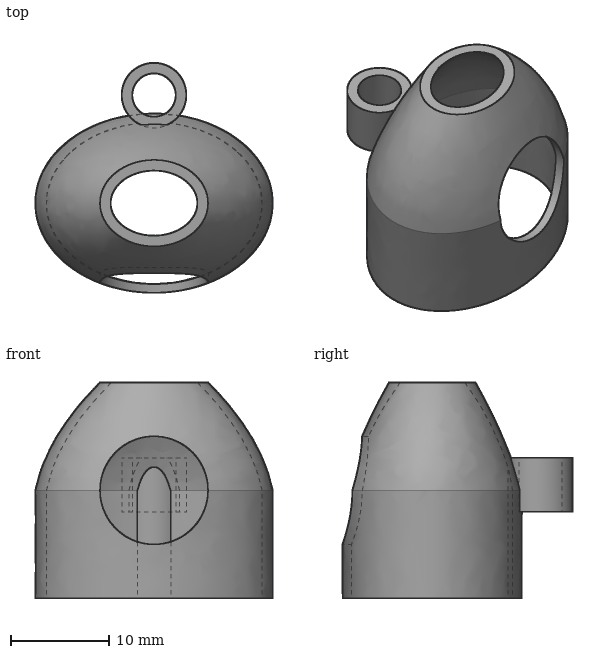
import cadquery as cq

height = 22.0
shoulder_height = height / 2
dome_rise = height - shoulder_height

outer_base = (24.2, 18.29)
outer_middle = (19.79, 14.3)
outer_top = (11.0, 8.8)
inner_base = (22.0, 16.5)
inner_middle = (17.59, 13.06)
inner_top = (8.8, 6.6)

window_diameter = 11.0

ring_outer_diameter = 6.6
ring_bore_diameter = 4.4
ring_offset = 10.995
ring_bottom = 8.8
ring_top = 14.32


def ellipse_at(plane, widths):
    """Add an elliptical section with the given full widths."""
    return plane.ellipse(widths[0] / 2, widths[1] / 2)


def bell(base, middle, top):
    """Straight elliptical skirt capped by a dome through three sections."""
    skirt = ellipse_at(cq.Workplane("XY"), base).extrude(shoulder_height)
    dome = ellipse_at(cq.Workplane("XY", origin=(0, 0, shoulder_height)), base)
    for section in (middle, top):
        dome = ellipse_at(dome.workplane(offset=dome_rise / 2), section)
    return skirt.union(dome.loft())


def ring_cylinder(diameter, bottom):
    """Vertical cylinder on the ring axis, reaching up to the ring top."""
    base = cq.Workplane("XY", origin=(0, ring_offset, bottom))
    return base.circle(diameter / 2).extrude(ring_top - bottom)


outer_body = bell(outer_base, outer_middle, outer_top)
cavity = bell(inner_base, inner_middle, inner_top)

window = (
    cq.Workplane("XZ", origin=(0, 0, shoulder_height))
    .circle(window_diameter / 2)
    .extrude(outer_base[1])
)
shell = outer_body.cut(cavity).cut(window)

inner_rib = ring_cylinder(ring_outer_diameter, 0).intersect(outer_body)
ring = ring_cylinder(ring_outer_diameter, ring_bottom)
bore = ring_cylinder(ring_bore_diameter, ring_bottom)

result = shell.union(inner_rib).union(ring).cut(bore)